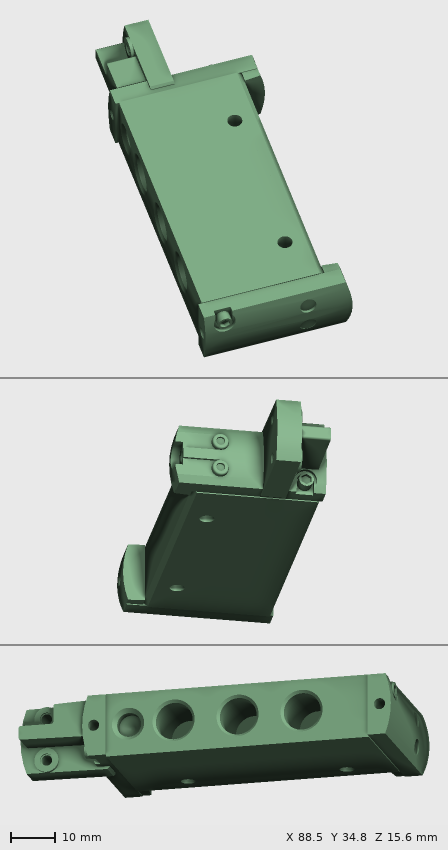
import cadquery as cq
import math


BODY_LENGTH = 61.1
BODY_FRONT = 0.8
BODY_BACK = 29.9
BODY_HEIGHT = 14.7
BODY_BACK_CHAMFER = 1.1
BODY_CENTER_X = BODY_LENGTH / 2

PORT_DIAMETER = 8.57
PORT_MOUTH_DIAMETER = 9.8
PORT_DEPTH = 15.0
PORT_PITCH = 14.9
MIDDLE_PORT_X = 30.6
PORT_CENTERS_X = [MIDDLE_PORT_X + i * PORT_PITCH for i in (-1, 0, 1)]
PILOT_X = 5.1
PILOT_DIAMETER = 5.6
PILOT_MOUTH_DIAMETER = 7.5
PILOT_DEPTH = 3.0
DRILL_POINT_ANGLE = 118.0
MOUNTING_DIAMETER = 3.4
MOUNTING_Y = 24.05
MOUNTING_MIDDLE_X = 31.6
MOUNTING_SPACING = 37.0

CAP_FLANK_LENGTH = 4.1
CAP_LENGTH = 5.4
CAP_HEIGHT = 14.2
CAP_BACK = 34.8
CAP_BACK_EDGE = 33.6
HOOK_HEIGHT = 13.8
HOOK_ROOT_REACH = 2.4
HOOK_TIP_REACH = 1.9
CAP_HOLE_DIAMETER = 2.6
CAP_HOLE_X = -2.75
CAP_COUNTERBORE_DIAMETER = 5.6
CAP_COUNTERBORE_DEPTH = 2.0

SLOT_WIDTH = 4.0
SLOT_FLOOR_X = -4.7
SMALL_SCREW_Y = 24.4
SMALL_SCREW_Z = 3.25
SMALL_SCREW_DIAMETER = 3.8
SMALL_SCREW_EDGE = 0.4
SMALL_SOCKET_DIAMETER = 2.0
SMALL_SOCKET_DEPTH = 0.6
SMALL_SCREW_REACH = 5.9
SCREW_RECESS_DIAMETER = 3.8

OVERRIDE_Y = 4.7
OVERRIDE_Z = -4.5
OVERRIDE_POCKET_WIDTH = 4.0
OVERRIDE_POCKET_FLOOR_X = -2.9
LEFT_OVERRIDE_REACH = 5.7
RIGHT_OVERRIDE_REACH = 5.2
OVERRIDE_HEAD_DIAMETER = 3.4
OVERRIDE_RECESS_DIAMETER = 5.1
OVERRIDE_RECESS_FLOOR_X = -4.4
OVERRIDE_SOCKET_WIDTH = 2.2
OVERRIDE_SOCKET_DEPTH = 1.0

ARM_TIP_X = -22.0
ARM_CORNER_X = -20.6
ARM_END_X = -1.3
ARM_FRONT = 8.75
ARM_BACK = 14.4
ARM_TIP_HEIGHT = 15.1
ARM_HEIGHT = 15.59
ARM_END_CHAMFER = 0.5
ARM_BOSS_DIAMETER = 5.6
ARM_BOSS_HEIGHT = 0.75
ARM_HOLE_X = -15.8
ARM_HOLE_SPACING = 9.65
ARM_HOLE_DIAMETER = 2.46
ARM_HOLE_MOUTH_DIAMETER = 3.0
ARM_HOLE_MOUTH_DEPTH = 0.4

BLOCK_FRONT = 1.9
BLOCK_TIP_X = -20.7
BLOCK_STEP_X = -12.6
BLOCK_ROOT_X = -4.7
TONGUE_TOP = 1.7
TONGUE_TIP_BOTTOM = -1.5
BLOCK_STEP_TOP = 6.25
BLOCK_ROOT_TOP = 6.55
BLOCK_ROOT_BOTTOM = -1.8
BLOCK_EDGE = 0.5


def cylinder_x(diameter, x_start, x_end, y, z):
    """Round bar along X."""
    plane = cq.Workplane("YZ", origin=(x_start, y, z))
    return plane.circle(diameter / 2).extrude(x_end - x_start)


def cylinder_y(diameter, y_start, y_end, x, z):
    """Round bar along Y."""
    plane = cq.Workplane("XZ", origin=(x, y_start, z))
    return plane.circle(diameter / 2).extrude(y_start - y_end)


def block(x_range, y_range, z_range):
    """Rectangular block between the given limits."""
    limits = (x_range, y_range, z_range)
    sizes = [high - low for low, high in limits]
    corner = [low for low, high in limits]
    return cq.Workplane("XY", origin=corner).box(*sizes, centered=False)


def turned_hole(profile, x):
    """Hole along Y at height zero, turned from (radius, y) points."""
    outline = cq.Workplane("XY").polyline(profile).close()
    return outline.revolve(360, (0, 0, 0), (0, 1, 0)).translate((x, 0, 0))


def port_cutter(x):
    """Flat-bottomed port with a 45 degree mouth chamfer."""
    radius = PORT_DIAMETER / 2
    mouth_radius = PORT_MOUTH_DIAMETER / 2
    profile = [
        (0, BODY_FRONT),
        (mouth_radius, BODY_FRONT),
        (radius, BODY_FRONT + mouth_radius - radius),
        (radius, BODY_FRONT + PORT_DEPTH),
        (0, BODY_FRONT + PORT_DEPTH),
    ]
    return turned_hole(profile, x)


def pilot_cutter():
    """Countersunk pilot hole with a drill point."""
    radius = PILOT_DIAMETER / 2
    mouth_radius = PILOT_MOUTH_DIAMETER / 2
    point_length = radius / math.tan(math.radians(DRILL_POINT_ANGLE / 2))
    profile = [
        (0, BODY_FRONT),
        (mouth_radius, BODY_FRONT),
        (radius, BODY_FRONT + mouth_radius - radius),
        (radius, BODY_FRONT + PILOT_DEPTH),
        (0, BODY_FRONT + PILOT_DEPTH + point_length),
    ]
    return turned_hole(profile, PILOT_X)


def make_body():
    """Valve body with its ports and vertical mounting holes."""
    half_height = BODY_HEIGHT / 2
    body = block((0, BODY_LENGTH), (BODY_FRONT, BODY_BACK), (-half_height, half_height))
    body = body.faces(">Y").edges("|X").chamfer(BODY_BACK_CHAMFER)
    for x in PORT_CENTERS_X:
        body = body.cut(port_cutter(x))
    body = body.cut(pilot_cutter())
    mounting_points = [(MOUNTING_MIDDLE_X + side * MOUNTING_SPACING / 2, MOUNTING_Y) for side in (-1, 1)]
    mounting = cq.Workplane("XY", origin=(0, 0, -half_height)).pushPoints(mounting_points)
    return body.cut(mounting.circle(MOUNTING_DIAMETER / 2).extrude(BODY_HEIGHT))


def make_cap_shell():
    """Cap with a bowed outer face, a bowed back and a hook behind the body."""
    half_height = CAP_HEIGHT / 2
    bowed_face = (
        cq.Workplane("XZ")
        .moveTo(HOOK_ROOT_REACH, -half_height)
        .lineTo(-CAP_FLANK_LENGTH, -half_height)
        .threePointArc((-CAP_LENGTH, 0), (-CAP_FLANK_LENGTH, half_height))
        .lineTo(HOOK_ROOT_REACH, half_height)
        .close()
        .extrude(-CAP_BACK)
    )
    bowed_back = (
        cq.Workplane("YZ", origin=(-CAP_LENGTH, 0, 0))
        .moveTo(0, -half_height)
        .lineTo(CAP_BACK_EDGE, -half_height)
        .threePointArc((CAP_BACK, 0), (CAP_BACK_EDGE, half_height))
        .lineTo(0, half_height)
        .close()
        .extrude(CAP_LENGTH + HOOK_ROOT_REACH)
    )
    plan = (
        cq.Workplane("XY", origin=(0, 0, -half_height))
        .moveTo(-CAP_LENGTH, 0)
        .lineTo(0, 0)
        .lineTo(0, BODY_BACK)
        .lineTo(HOOK_ROOT_REACH, BODY_BACK)
        .lineTo(HOOK_TIP_REACH, CAP_BACK)
        .lineTo(-CAP_LENGTH, CAP_BACK)
        .close()
        .extrude(CAP_HEIGHT)
    )
    hook_half = HOOK_HEIGHT / 2
    hook_limits = block((-CAP_LENGTH, HOOK_ROOT_REACH), (0, CAP_BACK), (-hook_half, hook_half))
    cap_limits = block((-CAP_LENGTH, 0), (0, CAP_BACK), (-half_height, half_height))
    limits = hook_limits.union(cap_limits)
    return bowed_face.intersect(bowed_back).intersect(plan).intersect(limits)


def make_cap_hole():
    """Through hole along Y."""
    return cylinder_y(CAP_HOLE_DIAMETER, 0, CAP_BACK, CAP_HOLE_X, 0)


def make_cap_counterbore():
    """Counterbore at the back of the left cap hole, open to the outer face."""
    floor = CAP_BACK - CAP_COUNTERBORE_DEPTH
    radius = CAP_COUNTERBORE_DIAMETER / 2
    opening = block((-CAP_LENGTH, CAP_HOLE_X), (floor, CAP_BACK), (-radius, radius))
    return cylinder_y(CAP_COUNTERBORE_DIAMETER, floor, CAP_BACK, CAP_HOLE_X, 0).union(opening)


def cut_screw_slot(cap, z):
    """Round-ended slot from a small screw to the back of the cap."""
    half_width = SLOT_WIDTH / 2
    slot_end = cylinder_x(SLOT_WIDTH, -CAP_LENGTH, SLOT_FLOOR_X, SMALL_SCREW_Y, z)
    slot = block(
        (-CAP_LENGTH, SLOT_FLOOR_X),
        (SMALL_SCREW_Y, CAP_BACK),
        (z - half_width, z + half_width),
    )
    return cap.cut(slot).cut(slot_end)


def make_small_screw(z):
    """Screw head with a rounded rim and a round socket."""
    head = cylinder_x(SMALL_SCREW_DIAMETER, -SMALL_SCREW_REACH, SLOT_FLOOR_X, SMALL_SCREW_Y, z)
    head = head.faces("<X").edges().fillet(SMALL_SCREW_EDGE)
    socket_floor = -SMALL_SCREW_REACH + SMALL_SOCKET_DEPTH
    socket = cylinder_x(SMALL_SOCKET_DIAMETER, -SMALL_SCREW_REACH, socket_floor, SMALL_SCREW_Y, z)
    return head.cut(socket)


def add_override_screw(cap, reach):
    """Hexagon-socket screw in a round recess over a pocket that opens to the cap edge."""
    half_width = OVERRIDE_POCKET_WIDTH / 2
    pocket_end = cylinder_x(
        OVERRIDE_POCKET_WIDTH, -CAP_LENGTH, OVERRIDE_POCKET_FLOOR_X, OVERRIDE_Y, OVERRIDE_Z
    )
    pocket = block(
        (-CAP_LENGTH, OVERRIDE_POCKET_FLOOR_X),
        (OVERRIDE_Y - half_width, OVERRIDE_Y + half_width),
        (-CAP_HEIGHT / 2, OVERRIDE_Z),
    )
    recess = cylinder_x(
        OVERRIDE_RECESS_DIAMETER, -CAP_LENGTH, OVERRIDE_RECESS_FLOOR_X, OVERRIDE_Y, OVERRIDE_Z
    )
    head = cylinder_x(
        OVERRIDE_HEAD_DIAMETER, -reach, OVERRIDE_POCKET_FLOOR_X, OVERRIDE_Y, OVERRIDE_Z
    )
    socket_diameter = OVERRIDE_SOCKET_WIDTH / math.cos(math.pi / 6)
    socket = (
        cq.Workplane("YZ", origin=(-reach, OVERRIDE_Y, OVERRIDE_Z))
        .transformed(rotate=(0, 0, 90))
        .polygon(6, socket_diameter)
        .extrude(OVERRIDE_SOCKET_DEPTH)
    )
    return cap.cut(pocket).cut(pocket_end).cut(recess).union(head.cut(socket))


def make_left_cap():
    """Cap with slots and small screws, without its bore along Y."""
    cap = make_cap_shell()
    for z in (-SMALL_SCREW_Z, SMALL_SCREW_Z):
        cap = cut_screw_slot(cap, z).union(make_small_screw(z))
    return add_override_screw(cap, LEFT_OVERRIDE_REACH)


def make_right_cap():
    """Cap with plain round recesses and its bore, turned half a turn to the right end of the body."""
    cap = make_cap_shell()
    for z in (-SMALL_SCREW_Z, SMALL_SCREW_Z):
        recess = cylinder_x(SCREW_RECESS_DIAMETER, -CAP_LENGTH, SLOT_FLOOR_X, SMALL_SCREW_Y, z)
        cap = cap.cut(recess)
    cap = add_override_screw(cap, RIGHT_OVERRIDE_REACH).cut(make_cap_hole())
    return cap.rotate((BODY_CENTER_X, 0, 0), (BODY_CENTER_X, 1, 0), 180)


def make_arm():
    """Round-nosed tapered arm with two bossed holes."""
    tip_half = ARM_TIP_HEIGHT / 2
    end_half = ARM_HEIGHT / 2
    arm = (
        cq.Workplane("XZ", origin=(0, ARM_FRONT, 0))
        .moveTo(ARM_CORNER_X, -tip_half)
        .threePointArc((ARM_TIP_X, 0), (ARM_CORNER_X, tip_half))
        .lineTo(ARM_END_X - ARM_END_CHAMFER, end_half)
        .lineTo(ARM_END_X, end_half - ARM_END_CHAMFER)
        .lineTo(ARM_END_X, -end_half + ARM_END_CHAMFER)
        .lineTo(ARM_END_X - ARM_END_CHAMFER, -end_half)
        .close()
        .extrude(ARM_FRONT - ARM_BACK)
    )
    boss_front = ARM_FRONT - ARM_BOSS_HEIGHT
    mouth_floor = boss_front + ARM_HOLE_MOUTH_DEPTH
    for side in (-1, 1):
        z = side * ARM_HOLE_SPACING / 2
        boss = cylinder_y(ARM_BOSS_DIAMETER, boss_front, ARM_FRONT, ARM_HOLE_X, z)
        hole = cylinder_y(ARM_HOLE_DIAMETER, boss_front, ARM_BACK, ARM_HOLE_X, z)
        mouth = cylinder_y(ARM_HOLE_MOUTH_DIAMETER, boss_front, mouth_floor, ARM_HOLE_X, z)
        arm = arm.union(boss).cut(hole).cut(mouth)
    return arm


def make_plug_block():
    """L-shaped block with a thin tongue and rounded edges across its width."""
    plug = (
        cq.Workplane("XZ", origin=(0, BLOCK_FRONT, 0))
        .moveTo(BLOCK_TIP_X, TONGUE_TIP_BOTTOM)
        .lineTo(BLOCK_TIP_X, TONGUE_TOP)
        .lineTo(BLOCK_STEP_X, TONGUE_TOP)
        .lineTo(BLOCK_STEP_X, BLOCK_STEP_TOP)
        .lineTo(BLOCK_ROOT_X, BLOCK_ROOT_TOP)
        .lineTo(BLOCK_ROOT_X, BLOCK_ROOT_BOTTOM)
        .close()
        .extrude(BLOCK_FRONT - ARM_FRONT)
    )
    plug = plug.faces("<X").edges("|Y").fillet(BLOCK_EDGE)
    step_edges = cq.selectors.BoxSelector(
        (BLOCK_STEP_X - BLOCK_EDGE, BLOCK_FRONT, TONGUE_TOP - BLOCK_EDGE),
        (BLOCK_STEP_X + BLOCK_EDGE, ARM_FRONT, BLOCK_STEP_TOP + BLOCK_EDGE),
    )
    return plug.edges("|Y").edges(step_edges).fillet(BLOCK_EDGE)


def make_left_end():
    """Left cap joined with the arm and the plug block, then bored along Y."""
    left_end = make_left_cap().union(make_arm()).union(make_plug_block())
    return left_end.cut(make_cap_hole()).cut(make_cap_counterbore())


result = make_body().union(make_left_end()).union(make_right_cap())